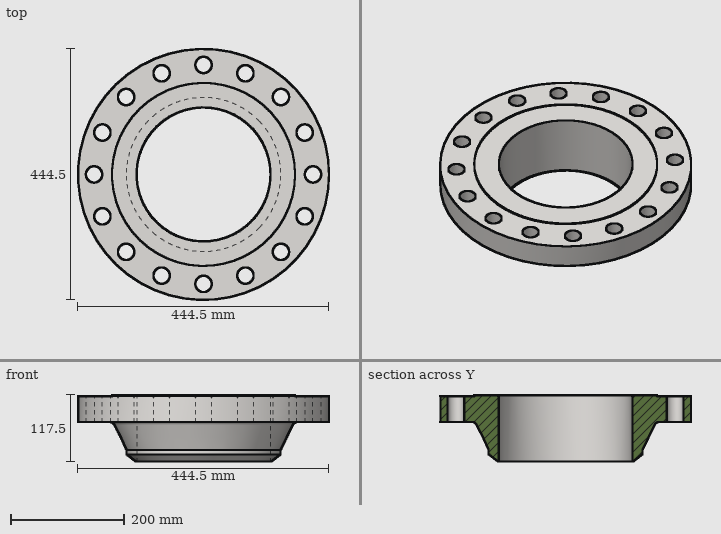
import cadquery as cq
import math

flange_diameter = 444.5
overall_height = 117.47
raised_face_diameter = 323.85
raised_face_height = 1.6
flange_thickness = 46.0

bolt_hole_count = 16
bolt_hole_diameter = 28.575
bolt_circle_diameter = 387.35

bore_diameter = 236.52
neck_diameter = 273.05
neck_height = 7.8
hub_base_diameter = 320.7
hub_fillet_radius = 9.5
weld_bevel_angle = math.radians(37.5)
weld_land_width = 1.6

weld_end_diameter = bore_diameter + 2 * weld_land_width
neck_bottom = (neck_diameter - weld_end_diameter) / 2 * math.tan(weld_bevel_angle)
neck_top = neck_bottom + neck_height
flange_top = overall_height - raised_face_height
flange_bottom = flange_top - flange_thickness


def hub_fillet_points():
    """Return start, middle and end of the arc that blends the hub taper into the flange underside."""
    hub_base_radius = hub_base_diameter / 2
    taper_angle = math.atan2(hub_base_radius - neck_diameter / 2, flange_bottom - neck_top)
    corner_angle = math.pi / 2 + taper_angle
    tangent_length = hub_fillet_radius / math.tan(corner_angle / 2)

    start = (
        hub_base_radius - tangent_length * math.sin(taper_angle),
        flange_bottom - tangent_length * math.cos(taper_angle),
    )
    end = (hub_base_radius + tangent_length, flange_bottom)
    half_sweep = (math.pi - corner_angle) / 2
    middle = (
        end[0] - hub_fillet_radius * math.sin(half_sweep),
        flange_bottom - hub_fillet_radius * (1 - math.cos(half_sweep)),
    )
    return start, middle, end


def flange_body():
    """Revolve the bored section of bevel, neck, hub, disc and raised face about Z."""
    fillet_start, fillet_middle, fillet_end = hub_fillet_points()
    return (
        cq.Workplane("XZ")
        .moveTo(bore_diameter / 2, 0)
        .lineTo(weld_end_diameter / 2, 0)
        .lineTo(neck_diameter / 2, neck_bottom)
        .lineTo(neck_diameter / 2, neck_top)
        .lineTo(*fillet_start)
        .threePointArc(fillet_middle, fillet_end)
        .lineTo(flange_diameter / 2, flange_bottom)
        .lineTo(flange_diameter / 2, flange_top)
        .lineTo(raised_face_diameter / 2, flange_top)
        .lineTo(raised_face_diameter / 2, overall_height)
        .lineTo(bore_diameter / 2, overall_height)
        .close()
        .revolve(360, (0, 0, 0), (0, 1, 0))
    )


def bolt_holes():
    """Cylinders on the bolt circle, the first on the +X axis, passing through the disc."""
    return (
        cq.Workplane("XY", origin=(0, 0, flange_bottom))
        .polarArray(bolt_circle_diameter / 2, 0, 360, bolt_hole_count)
        .circle(bolt_hole_diameter / 2)
        .extrude(flange_thickness)
    )


result = flange_body().cut(bolt_holes())